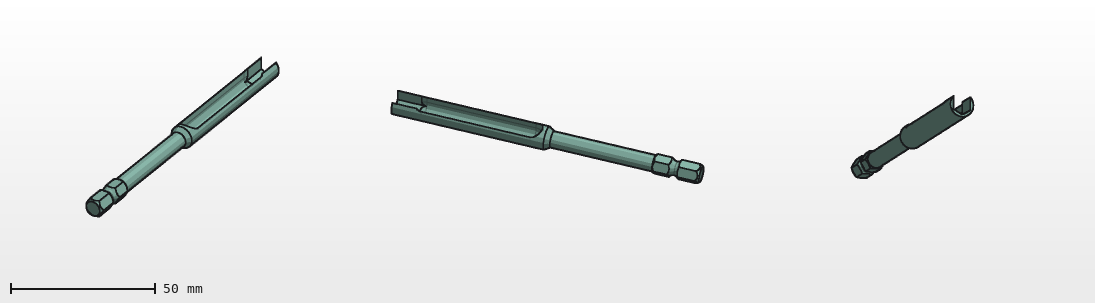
import cadquery as cq
import math

total_length = 111.0
tip_y = -total_length / 2

drive_flats = 6.35
drive_corners = drive_flats / math.cos(math.pi / 6)
drive_length = 17.0
tip_radius = 2.8
tip_chamfer = 1.25
front_edge_radius = 3.05
front_chamfer = 0.8

groove_middle = 9.2
groove_radius = 2.5
groove_rear_arc = 1.75
groove_front_arc = 2.4

shaft_radius = 2.95
neck_start = 54.0
body_start = 56.0
body_radius = 4.2

trough_radius = 3.45
trough_start = 61.0
trough_end = 100.5
mouth_flats = 6.0


def revolved(profile):
    """Turn a closed profile of (radius, distance from the tip) points about Y."""
    points = [(radius, tip_y + distance) for radius, distance in profile]
    return cq.Workplane("XY").polyline(points).close().revolve(360, (0, 0, 0), (0, 1, 0))


def prism_along_y(outline, start, end):
    """Extrude an XZ outline between two distances from the tip."""
    return outline.extrude(-(end - start)).translate((0, tip_y + start, 0))


def groove_reach(arc_radius, rise):
    """Distance along Y over which a groove arc climbs by the given rise."""
    return math.sqrt(arc_radius**2 - (arc_radius - rise) ** 2)


def drive_shank():
    """Hexagonal bar trimmed by a turned envelope that forms its chamfers and groove."""
    corner_radius = drive_corners / 2
    depth = corner_radius - groove_radius
    middle_y = tip_y + groove_middle
    drive_end_y = tip_y + drive_length
    rear_y = middle_y - groove_reach(groove_rear_arc, depth)
    front_y = middle_y + groove_reach(groove_front_arc, depth)
    rear_half_y = middle_y - groove_reach(groove_rear_arc, depth / 2)
    front_half_y = middle_y + groove_reach(groove_front_arc, depth / 2)
    half_radius = groove_radius + depth / 2

    hexagon = prism_along_y(cq.Workplane("XZ").polygon(6, drive_corners), 0, drive_length)
    envelope = (
        cq.Workplane("XY")
        .moveTo(0, tip_y)
        .lineTo(tip_radius, tip_y)
        .lineTo(corner_radius, tip_y + tip_chamfer)
        .lineTo(corner_radius, rear_y)
        .threePointArc((half_radius, rear_half_y), (groove_radius, middle_y))
        .threePointArc((half_radius, front_half_y), (corner_radius, front_y))
        .lineTo(corner_radius, drive_end_y - front_chamfer)
        .lineTo(front_edge_radius, drive_end_y)
        .lineTo(0, drive_end_y)
        .close()
        .revolve(360, (0, 0, 0), (0, 1, 0))
    )
    return hexagon.intersect(envelope)


def shaft_and_body():
    return revolved([
        (0, drive_length),
        (shaft_radius, drive_length),
        (shaft_radius, neck_start),
        (body_radius, body_start),
        (body_radius, total_length),
        (0, total_length),
    ])


def trough():
    """Ball-ended bore along the axis, opened upward by a slot of the same width."""
    length = trough_end - trough_start
    middle_y = tip_y + (trough_start + trough_end) / 2
    cutter = prism_along_y(cq.Workplane("XZ").circle(trough_radius), trough_start, trough_end)
    for distance in (trough_start, trough_end):
        ball = cq.Workplane("XY").sphere(trough_radius).translate((0, tip_y + distance, 0))
        cutter = cutter.union(ball)
    opening = (
        cq.Workplane("XY")
        .center(0, middle_y)
        .slot2D(length + 2 * trough_radius, 2 * trough_radius, 90)
        .extrude(2 * body_radius)
    )
    return cutter.union(opening)


def hexagonal_mouth():
    """Half hexagon with a corner at the bottom and its side walls running out of the top."""
    half_width = mouth_flats / 2
    corner_height = half_width * math.tan(math.pi / 6)
    bottom_corner = -half_width / math.cos(math.pi / 6)
    outline = (
        cq.Workplane("XZ")
        .moveTo(0, bottom_corner)
        .lineTo(half_width, -corner_height)
        .lineTo(half_width, 2 * body_radius)
        .lineTo(-half_width, 2 * body_radius)
        .lineTo(-half_width, -corner_height)
        .close()
    )
    return prism_along_y(outline, trough_end, total_length)


result = drive_shank().union(shaft_and_body()).cut(trough()).cut(hexagonal_mouth())